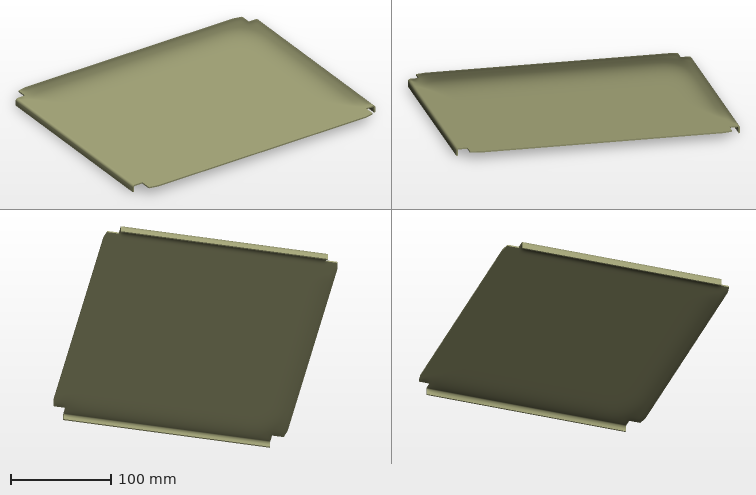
import cadquery as cq

overall_width = 237.64
overall_length = 290.4
overall_height = 8.0

sheet_thickness = 1.5
bend_outer_radius = 2.5
bend_inner_radius = bend_outer_radius - sheet_thickness

flange_width = 210.0
panel_length = 268.0
corner_taper_inset = 2.0
corner_taper_length = 10.0
corner_radius = 1.0


def make_panel():
    """Flat panel whose four corners taper inward and end in a small rounding."""
    half_width = overall_width / 2
    half_length = panel_length / 2
    taper_start = half_length - corner_taper_length
    end_half_width = half_width - corner_taper_inset
    outline = [
        (half_width, -taper_start),
        (half_width, taper_start),
        (end_half_width, half_length),
        (-end_half_width, half_length),
        (-half_width, taper_start),
        (-half_width, -taper_start),
        (-end_half_width, -half_length),
        (end_half_width, -half_length),
    ]
    panel = cq.Workplane("XY").polyline(outline).close().extrude(-sheet_thickness)
    end_corners = panel.faces("<Y or >Y").edges("|Z")
    return end_corners.fillet(corner_radius)


def make_flanged_strip():
    """Full-length channel: a flat web with a flange bent down at each end."""
    web = (
        cq.Workplane("XY")
        .box(flange_width, overall_length, overall_height)
        .translate((0, 0, -overall_height / 2))
        .edges("|X and >Z")
        .fillet(bend_outer_radius)
    )
    inside_length = overall_length - 2 * sheet_thickness
    inside_height = overall_height - sheet_thickness
    inside = (
        cq.Workplane("XY")
        .box(flange_width, inside_length, inside_height)
        .translate((0, 0, -sheet_thickness - inside_height / 2))
        .edges("|X and >Z")
        .fillet(bend_inner_radius)
    )
    return web.cut(inside)


result = make_panel().union(make_flanged_strip())